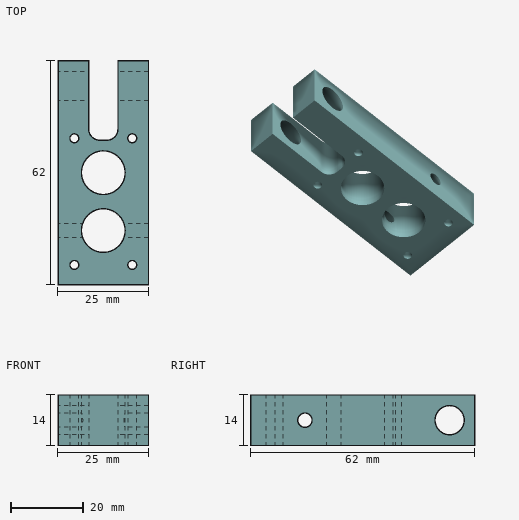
import cadquery as cq

width = 25.0
length = 62.0
height = 14.0

slot_width = 8.0
slot_depth = 22.0
slot_corner_radius = 3.0

bore_diameter = 12.0
bore_spacing = 16.0
first_bore_y = 15.0
bore_middle_y = first_bore_y + bore_spacing / 2
bore_centres = [(0, first_bore_y), (0, first_bore_y + bore_spacing)]

small_hole_diameter = 2.4
small_hole_spacing_x = 16.0
small_hole_spacing_y = 35.0
small_hole_centres = [
    (side * small_hole_spacing_x / 2, bore_middle_y + end * small_hole_spacing_y / 2)
    for side in (-1, 1)
    for end in (-1, 1)
]

fork_hole_diameter = 8.0
fork_hole_end_distance = 7.0
fork_hole_y = length - fork_hole_end_distance
bore_cross_hole_diameter = 3.9


def make_block():
    return cq.Workplane("XY").box(width, length, height).translate((0, length / 2, 0))


def make_slot():
    """Slot cutter with rounded inner corners, open at the +Y end."""
    return (
        cq.Workplane("XY")
        .box(slot_width, slot_depth, height)
        .edges("|Z and <Y")
        .fillet(slot_corner_radius)
        .translate((0, length - slot_depth / 2, 0))
    )


def make_vertical_holes(diameter, centres):
    """Through-hole cutters along Z at the given (x, y) centres."""
    return cq.Workplane("XY").pushPoints(centres).circle(diameter / 2).extrude(height / 2, both=True)


def make_cross_hole(diameter, y):
    """Cutter along X through the full width at mid height."""
    return cq.Workplane("YZ").center(y, 0).circle(diameter / 2).extrude(width / 2, both=True)


result = (
    make_block()
    .cut(make_slot())
    .cut(make_vertical_holes(bore_diameter, bore_centres))
    .cut(make_vertical_holes(small_hole_diameter, small_hole_centres))
    .cut(make_cross_hole(fork_hole_diameter, fork_hole_y))
    .cut(make_cross_hole(bore_cross_hole_diameter, first_bore_y))
)